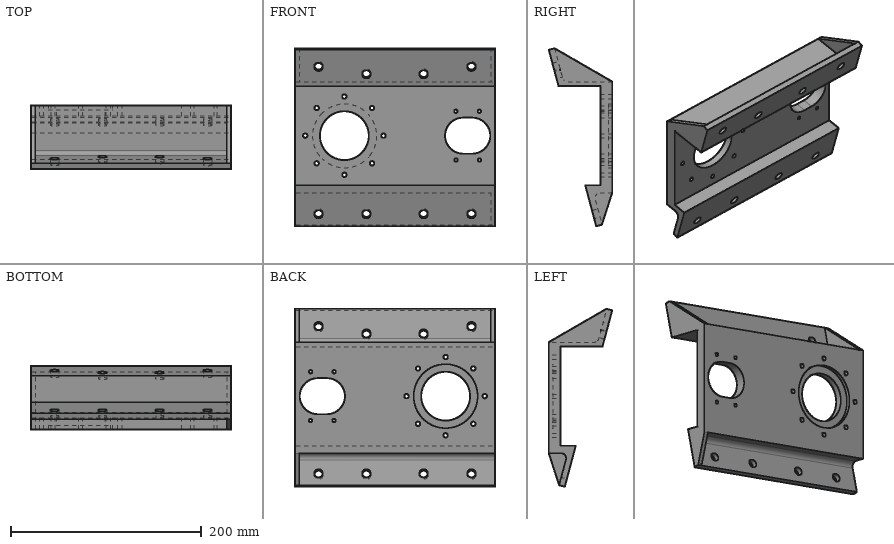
import cadquery as cq
import math

WIDTH = 210.0
HEIGHT = 187.0
DEPTH = 66.8

PLATE_THICKNESS = 12.5
LIP_THICKNESS = 6.3
LIP_ANGLE = math.radians(15)
LOWER_LEDGE_Z = 43.3
UPPER_LEDGE_Z = 147.0
LOWER_LEDGE_THICKNESS = 8.0
UPPER_LEDGE_THICKNESS = 4.8
LOWER_LEDGE_REACH = 28.5
INNER_FILLET = 5.2
RIB_THICKNESS = 4.6

OPENING_Z = (LOWER_LEDGE_Z + UPPER_LEDGE_Z) / 2
BORE_X = -53.1
BORE_DIAMETER = 51.0
RECESS_DIAMETER = 67.2
RECESS_DEPTH = 4.5
BOLT_CIRCLE_DIAMETER = 82.1
BOLT_COUNT = 8
BOLT_DIAMETER = 4.5
SLOT_X = 76.2
SLOT_LENGTH = 47.2
SLOT_HEIGHT = 37.5
SLOT_SCREW_PITCH_X = 24.5
SLOT_SCREW_PITCH_Z = 51.2
SLOT_SCREW_DIAMETER = 3.4

LIP_HOLE_DIAMETER = 8.8
OUTER_HOLE_X = 80.2
INNER_HOLE_X = 30.0
LOWER_HOLE_Z = 12.5
UPPER_OUTER_HOLE_Z = 167.2
UPPER_INNER_HOLE_Z = 159.4

LEAN = math.tan(LIP_ANGLE)
EDGE_Y = LIP_THICKNESS * math.cos(LIP_ANGLE)
EDGE_Z = LIP_THICKNESS * math.sin(LIP_ANGLE)
LIP_OFFSET_Y = LIP_THICKNESS / math.cos(LIP_ANGLE)
UPPER_FLOOR_Z = UPPER_LEDGE_Z + UPPER_LEDGE_THICKNESS
LOWER_FLOOR_Z = LOWER_LEDGE_Z - LOWER_LEDGE_THICKNESS
UPPER_FRONT_Z = HEIGHT - EDGE_Z


def upper_lip_y(z):
    """Y of the front face of the upper lip at height z."""
    return -DEPTH + (UPPER_FRONT_Z - z) * LEAN


def lower_lip_y(z):
    """Y of the front face of the lower lip at height z."""
    return -LOWER_LEDGE_REACH + (LOWER_LEDGE_Z - z) * LEAN


UPPER_TIP = (-DEPTH + EDGE_Y, HEIGHT)
UPPER_CORNER = (upper_lip_y(UPPER_FLOOR_Z) + LIP_OFFSET_Y, UPPER_FLOOR_Z)
LOWER_TIP = (lower_lip_y(0) + EDGE_Y, EDGE_Z)
LOWER_CORNER = (lower_lip_y(LOWER_FLOOR_Z) + LIP_OFFSET_Y, LOWER_FLOOR_Z)


def make_bracket():
    """Bent section along the full width, with rounded corners behind the lips."""
    profile = [
        (0, LOWER_FLOOR_Z),
        (0, UPPER_FLOOR_Z),
        UPPER_CORNER,
        UPPER_TIP,
        (-DEPTH, UPPER_FRONT_Z),
        (upper_lip_y(UPPER_LEDGE_Z), UPPER_LEDGE_Z),
        (-PLATE_THICKNESS, UPPER_LEDGE_Z),
        (-PLATE_THICKNESS, LOWER_LEDGE_Z),
        (-LOWER_LEDGE_REACH, LOWER_LEDGE_Z),
        (lower_lip_y(0), 0),
        LOWER_TIP,
        LOWER_CORNER,
    ]
    body = cq.Workplane("YZ").polyline(profile).close().extrude(WIDTH / 2, both=True)
    for y, z in (UPPER_CORNER, LOWER_CORNER):
        corner_edge = cq.selectors.NearestToPointSelector((0, y, z))
        body = body.edges("|X").edges(corner_edge).fillet(INNER_FILLET)
    return body


def make_rib(points, start_x):
    """Triangular end web joining a ledge to its lip."""
    return (
        cq.Workplane("YZ", origin=(start_x, 0, 0))
        .polyline(points)
        .close()
        .extrude(RIB_THICKNESS)
    )


def front_plane(x, z):
    """Sketch plane on the back of the plate that extrudes toward -Y."""
    return cq.Workplane("XZ", origin=(x, 0, z))


def cut_bore(body):
    """Round opening with a wider recess at the back and a ring of bolt holes."""
    plane = front_plane(BORE_X, OPENING_Z)
    bore = plane.circle(BORE_DIAMETER / 2).extrude(PLATE_THICKNESS)
    recess = plane.circle(RECESS_DIAMETER / 2).extrude(RECESS_DEPTH)
    bolts = (
        plane.polarArray(BOLT_CIRCLE_DIAMETER / 2, 0, 360, BOLT_COUNT)
        .circle(BOLT_DIAMETER / 2)
        .extrude(PLATE_THICKNESS)
    )
    return body.cut(bore).cut(recess).cut(bolts)


def cut_slot(body):
    """Round-ended opening with four screw holes."""
    plane = front_plane(SLOT_X, OPENING_Z)
    slot = plane.slot2D(SLOT_LENGTH, SLOT_HEIGHT).extrude(PLATE_THICKNESS)
    screws = (
        plane.rarray(SLOT_SCREW_PITCH_X, SLOT_SCREW_PITCH_Z, 2, 2)
        .circle(SLOT_SCREW_DIAMETER / 2)
        .extrude(PLATE_THICKNESS)
    )
    return body.cut(slot).cut(screws)


def cut_lip_holes(body, hole_x, y, z):
    """Mirrored pair of holes square to a lip, centred on its front face."""
    inward = cq.Vector(0, math.cos(LIP_ANGLE), math.sin(LIP_ANGLE))
    reach = 2 * LIP_THICKNESS
    for x in (-hole_x, hole_x):
        start = cq.Vector(x, y, z) - inward * LIP_THICKNESS
        drill = cq.Solid.makeCylinder(
            LIP_HOLE_DIAMETER / 2, LIP_THICKNESS + reach, start, inward
        )
        body = body.cut(cq.Workplane(obj=drill))
    return body


result = make_bracket()

left_end = -WIDTH / 2
right_end = WIDTH / 2 - RIB_THICKNESS
upper_rib = [(0, UPPER_FLOOR_Z), UPPER_TIP, UPPER_CORNER]
lower_rib = [(0, LOWER_FLOOR_Z), LOWER_CORNER, LOWER_TIP]
result = result.union(make_rib(upper_rib, left_end))
result = result.union(make_rib(upper_rib, right_end))
result = result.union(make_rib(lower_rib, right_end))

result = cut_bore(result)
result = cut_slot(result)
for hole_x, z in ((OUTER_HOLE_X, UPPER_OUTER_HOLE_Z), (INNER_HOLE_X, UPPER_INNER_HOLE_Z)):
    result = cut_lip_holes(result, hole_x, upper_lip_y(z), z)
for hole_x in (OUTER_HOLE_X, INNER_HOLE_X):
    result = cut_lip_holes(result, hole_x, lower_lip_y(LOWER_HOLE_Z), LOWER_HOLE_Z)